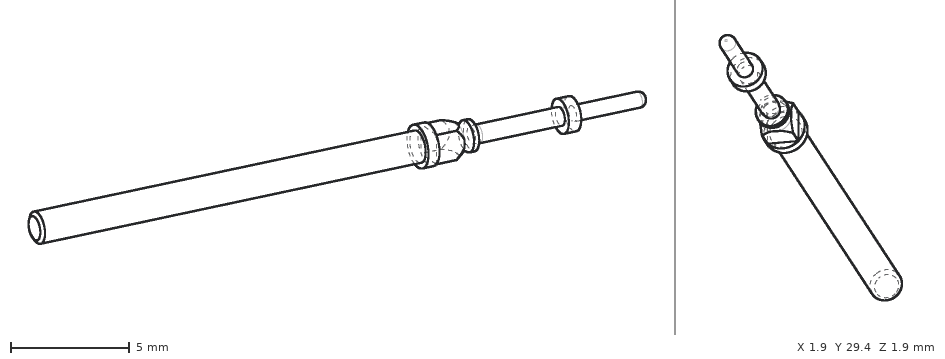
import cadquery as cq

total_length = 29.4
stop_disc_start = 3.47
stop_disc_end = 4.07
neck_start = 8.03
collar_start = 8.35
groove_start = 8.6
cone_start = 9.05
cone_end = 9.42
flange_start = 10.4
flange_end = 10.93

tail_diameter = 0.7
stop_disc_diameter = 1.53
shaft_diameter = 0.82
neck_end_diameter = 0.74
collar_diameter = 1.4
groove_diameter = 1.2
flange_diameter = 1.9
barrel_diameter = 1.4

square_side = 1.35
tail_tip_radius = 0.3
barrel_chamfer_length = 0.13
barrel_tip_diameter = 1.05


def place(station):
    """Y coordinate of a station, with the part centred on the origin."""
    return total_length / 2 - station


def frustum(start, end, start_diameter, end_diameter):
    """Round section about the Y axis that tapers evenly between two stations."""
    return (
        cq.Workplane("XY")
        .moveTo(0, place(start))
        .lineTo(start_diameter / 2, place(start))
        .lineTo(end_diameter / 2, place(end))
        .lineTo(0, place(end))
        .close()
        .revolve(360, (0, 0, 0), (0, 1, 0))
    )


def cylinder(start, end, diameter):
    """Round section of constant diameter between two stations."""
    return frustum(start, end, diameter, diameter)


def tail_pin():
    """Thin pin at the +Y end with a rounded tip."""
    return cylinder(0, stop_disc_start, tail_diameter).faces(">Y").edges().fillet(tail_tip_radius)


def round_groove():
    """Waist between the collar and the square shank, hollowed by a shallow arc."""
    edge = collar_diameter / 2
    bottom = place((groove_start + cone_start) / 2)
    return (
        cq.Workplane("XY")
        .moveTo(0, place(groove_start))
        .lineTo(edge, place(groove_start))
        .threePointArc((groove_diameter / 2, bottom), (edge, place(cone_start)))
        .lineTo(0, place(cone_start))
        .close()
        .revolve(360, (0, 0, 0), (0, 1, 0))
    )


def square_section():
    """Square shank whose corners are turned down to a cone at the groove end."""
    length = flange_start - cone_start
    block = cq.Workplane("XY").box(square_side, length, square_side)
    block = block.translate((0, place((cone_start + flange_start) / 2), 0))
    envelope = frustum(cone_start, cone_end, collar_diameter, flange_diameter)
    envelope = envelope.union(cylinder(cone_end, flange_start, flange_diameter))
    return block.intersect(envelope)


barrel_chamfer_start = total_length - barrel_chamfer_length

sections = [
    tail_pin(),
    cylinder(stop_disc_start, stop_disc_end, stop_disc_diameter),
    cylinder(stop_disc_end, neck_start, shaft_diameter),
    frustum(neck_start, collar_start, shaft_diameter, neck_end_diameter),
    cylinder(collar_start, groove_start, collar_diameter),
    round_groove(),
    square_section(),
    cylinder(flange_start, flange_end, flange_diameter),
    cylinder(flange_end, barrel_chamfer_start, barrel_diameter),
    frustum(barrel_chamfer_start, total_length, barrel_diameter, barrel_tip_diameter),
]

result = sections[0]
for section in sections[1:]:
    result = result.union(section)